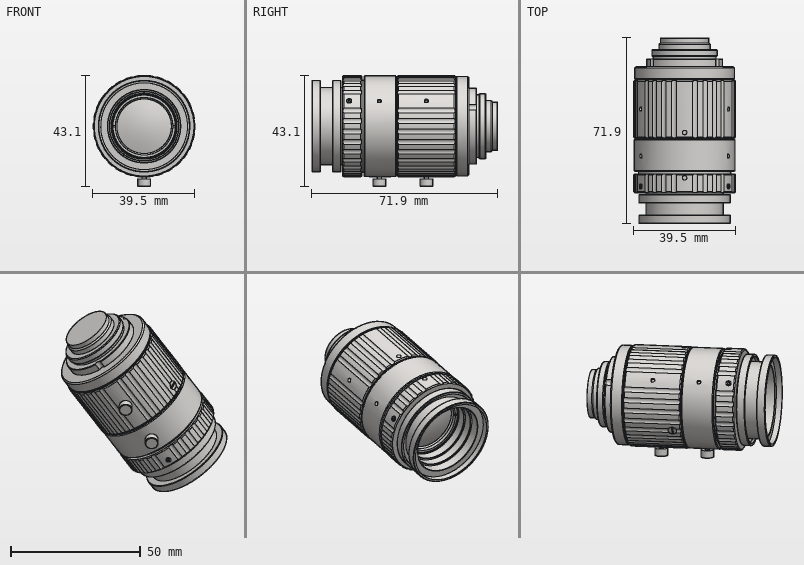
import cadquery as cq
import math

LENGTH = 71.9
OVERALL_HEIGHT = 43.1

FRONT_RIM_RADIUS = 17.75
NECK_RADIUS = 15.0
MIDDLE_RING_RADIUS = 39.2 / 2
GRIP_RADIUS = 39.5 / 2
RELIEF_RADIUS = 37.6 / 2
FOCUS_GAP_RADIUS = 17.9
REAR_RING_RADIUS = 19.35
LOCK_DISC_RADIUS = 14.75
MOUNT_NECK_RADIUS = 12.2
MOUNT_FLANGE_RADIUS = 25.4 / 2
THREAD_RADIUS = 20.0 / 2
NOSE_RADIUS = 18.8 / 2

FRONT_RIM_END = 3.3
FRONT_NECK_END = 8.05
SECOND_RIM_END = 11.3
SECOND_NECK_END = 11.95
FOCUS_RING_END = 19.35
FOCUS_GAP_END = 20.2
MIDDLE_RING_END = 32.7
MIDDLE_GAP_END = 33.15
GRIP_RING_END = 55.6
GRIP_GAP_END = 56.0
REAR_RING_END = 60.8
LOCK_DISC_END = 63.85
MOUNT_NECK_END = 64.7
MOUNT_FLANGE_END = 67.5
THREAD_END = 70.05

RIM_CHAMFER = 0.2
SECOND_RIM_FRONT_CHAMFER = 0.15
RING_CHAMFER = 0.35
GRIP_CHAMFER = 0.4
REAR_RING_FRONT_CHAMFER = REAR_RING_RADIUS - 38.2 / 2
REAR_RING_BACK_CHAMFER = REAR_RING_RADIUS - RELIEF_RADIUS
THREAD_CHAMFER = THREAD_RADIUS - NOSE_RADIUS

RIM_BORE_RADIUS = 16.8
BAFFLE_RADII = [14.1, 13.4, 12.65, 12.4, 12.1]
RETAINER_OUTER_RADIUS = BAFFLE_RADII[-1]
RETAINER_BORE_RADIUS = 11.15
LENS_OPENING_RADIUS = 10.6
RIM_BORE_DEPTH = 2.2
SECOND_RIM_RECESS_DEPTH = 1.1
BAFFLE_DEPTHS = [6.05, 9.35, 12.65, 12.8, 12.95]
BAFFLE_MOUTH_CHAMFER = 0.15
RETAINER_FACE_DEPTH = BAFFLE_DEPTHS[-1]
CONE_START_DEPTH = 14.3
LENS_RIM_DEPTH = 14.9
SPANNER_SLOT_WIDTH = 0.65
SPANNER_SLOT_DEPTH = 0.7
LENS_SPHERE_RADIUS = 34.5
LENS_EDGE_THICKNESS = 2.9

GROOVE_PITCH = 12
FIRST_GROOVE_ANGLE = 6
PLAIN_ANGLES = [30, 90, 150, 270]
GROOVE_WIDTH = 1.95
GROOVE_CUTTER_RADIUS = 3.0 / 2
LOCK_NOTCH_WIDTH = 2.3
LOCK_NOTCH_CUTTER_RADIUS = 2.5 / 2

SCREW_ANGLES = [30, 150, 270]
OPEN_SCREW_ANGLES = [30, 150]
THUMB_SCREW_ANGLE = 270
INDEX_PIN_ANGLE = 90
SLOTTED_SCREW_ANGLE = 210
GRIP_SCREW_Y = 44.4
MIDDLE_SCREW_Y = 26.2
FOCUS_SCREW_Y = 14.45
LOCK_HOLE_RADIUS = 1.5 / 2
LOCK_HOLE_DEPTH = 1.3
SET_SCREW_RADIUS = 2.0 / 2
SET_SCREW_RECESS = 0.15
HEX_SOCKET_CORNERS = 1.0
HEX_SOCKET_DEPTH = 0.6
GRIP_PIN_Y = 35.3
FOCUS_PIN_Y = 17.75
INDEX_PIN_RADIUS = 1.7 / 2
PIN_EMBED = 1.45
PIN_INNER_END = GRIP_RADIUS - PIN_EMBED
SLOTTED_SCREW_Y = 36.7
SLOTTED_SCREW_RADIUS = 3.4 / 2
SLOTTED_SCREW_RECESS = 0.15
DRIVER_SLOT_WIDTH = 0.4
DRIVER_SLOT_DEPTH = 0.4
THUMB_STEM_RADIUS = 1.7 / 2
THUMB_HEAD_RADIUS = 5.0 / 2
THUMB_HEAD_START = 20.35
THUMB_HEAD_END = OVERALL_HEIGHT - GRIP_RADIUS
THUMB_CHAMFER = 0.2


def disc(radius, start, end):
    """Cylinder on the optical axis from Y = start to Y = end."""
    solid = cq.Solid.makeCylinder(radius, end - start, cq.Vector(0, start, 0), cq.Vector(0, 1, 0))
    return cq.Workplane(obj=solid)


def chamfered_disc(radius, start, end, chamfer):
    return disc(radius, start, end).edges("%CIRCLE").chamfer(chamfer)


def turn(body, angle):
    """Turn a body about the optical axis, from the +X direction towards +Z."""
    return body.rotate((0, 0, 0), (0, 1, 0), -angle)


def radial_pin(radius, angle, y, inner, outer):
    """Cylinder pointing away from the optical axis, between two distances from it."""
    pin = cq.Workplane("YZ", origin=(inner, y, 0)).circle(radius).extrude(outer - inner)
    return turn(pin, angle)


def cut_grooves(body, angles, radius, width, cutter_radius, start, end):
    """Cut round-bottomed grooves along Y that open to the given width at the surface."""
    chord_distance = math.sqrt(radius**2 - (width / 2) ** 2)
    centre = chord_distance + math.sqrt(cutter_radius**2 - (width / 2) ** 2)
    cutter = disc(cutter_radius, start, end).translate((centre, 0, 0))
    for angle in angles:
        body = body.cut(turn(cutter, angle))
    return body


def grip_ring(start, end):
    groove_angles = []
    for angle in range(FIRST_GROOVE_ANGLE, 360, GROOVE_PITCH):
        if angle not in PLAIN_ANGLES:
            groove_angles.append(angle)
    ring = chamfered_disc(GRIP_RADIUS, start, end, GRIP_CHAMFER)
    return cut_grooves(ring, groove_angles, GRIP_RADIUS, GROOVE_WIDTH, GROOVE_CUTTER_RADIUS, start, end)


def make_barrel():
    lock_disc = disc(LOCK_DISC_RADIUS, REAR_RING_END, LOCK_DISC_END).faces(">Y").edges().chamfer(RIM_CHAMFER)
    lock_disc = cut_grooves(lock_disc, SCREW_ANGLES, LOCK_DISC_RADIUS, LOCK_NOTCH_WIDTH,
                            LOCK_NOTCH_CUTTER_RADIUS, REAR_RING_END, LOCK_DISC_END)
    second_rim = disc(FRONT_RIM_RADIUS, FRONT_NECK_END, SECOND_RIM_END)
    second_rim = second_rim.faces("<Y").edges().chamfer(SECOND_RIM_FRONT_CHAMFER)
    second_rim = second_rim.faces(">Y").edges().chamfer(RIM_CHAMFER)
    rear_ring = disc(REAR_RING_RADIUS, GRIP_GAP_END, REAR_RING_END)
    rear_ring = rear_ring.faces("<Y").edges().chamfer(REAR_RING_FRONT_CHAMFER)
    rear_ring = rear_ring.faces(">Y").edges().chamfer(REAR_RING_BACK_CHAMFER)
    thread = disc(THREAD_RADIUS, MOUNT_FLANGE_END, THREAD_END).faces(">Y").edges().chamfer(THREAD_CHAMFER)
    sections = [
        disc(NECK_RADIUS, FRONT_RIM_END, FRONT_NECK_END),
        second_rim,
        disc(NECK_RADIUS, SECOND_RIM_END, SECOND_NECK_END),
        grip_ring(SECOND_NECK_END, FOCUS_RING_END),
        disc(FOCUS_GAP_RADIUS, FOCUS_RING_END, FOCUS_GAP_END),
        chamfered_disc(MIDDLE_RING_RADIUS, FOCUS_GAP_END, MIDDLE_RING_END, RING_CHAMFER),
        disc(RELIEF_RADIUS, MIDDLE_RING_END, MIDDLE_GAP_END),
        grip_ring(MIDDLE_GAP_END, GRIP_RING_END),
        disc(RELIEF_RADIUS, GRIP_RING_END, GRIP_GAP_END),
        rear_ring,
        lock_disc,
        disc(MOUNT_NECK_RADIUS, LOCK_DISC_END, MOUNT_NECK_END),
        chamfered_disc(MOUNT_FLANGE_RADIUS, MOUNT_NECK_END, MOUNT_FLANGE_END, RING_CHAMFER),
        thread,
        disc(NOSE_RADIUS, THREAD_END, LENGTH),
    ]
    barrel = chamfered_disc(FRONT_RIM_RADIUS, 0, FRONT_RIM_END, RIM_CHAMFER)
    for section in sections:
        barrel = barrel.union(section)
    return barrel


def cut_second_rim_recess(body):
    """Ring-shaped recess in the front face of the second rim, around the neck."""
    recess_end = FRONT_NECK_END + SECOND_RIM_RECESS_DEPTH
    neck = disc(NECK_RADIUS, FRONT_NECK_END, recess_end)
    recess = disc(RIM_BORE_RADIUS, FRONT_NECK_END, recess_end).cut(neck)
    return body.cut(recess)


def cone(start_radius, end_radius, start, end):
    """Truncated cone on the optical axis from Y = start to Y = end."""
    base = cq.Vector(0, start, 0)
    solid = cq.Solid.makeCone(start_radius, end_radius, end - start, base, cq.Vector(0, 1, 0))
    return cq.Workplane(obj=solid)


def make_bore():
    """Stepped space in front of the lens, with the countersink of the lens retainer."""
    bore = disc(RIM_BORE_RADIUS, 0, RIM_BORE_DEPTH)
    mouth = RIM_BORE_DEPTH
    for radius, depth in zip(BAFFLE_RADII, BAFFLE_DEPTHS):
        bore = bore.union(disc(radius, mouth, depth))
        bore = bore.union(cone(radius + BAFFLE_MOUTH_CHAMFER, radius, mouth, mouth + BAFFLE_MOUTH_CHAMFER))
        mouth = depth
    bore = bore.union(disc(RETAINER_BORE_RADIUS, RETAINER_FACE_DEPTH, CONE_START_DEPTH))
    bore = bore.union(cone(RETAINER_BORE_RADIUS, LENS_OPENING_RADIUS, CONE_START_DEPTH, LENS_RIM_DEPTH))
    spanner_slots = (
        cq.Workplane("XY")
        .box(2 * RETAINER_OUTER_RADIUS, SPANNER_SLOT_DEPTH, SPANNER_SLOT_WIDTH)
        .translate((0, RETAINER_FACE_DEPTH + SPANNER_SLOT_DEPTH / 2, 0))
    )
    return bore.union(spanner_slots)


def make_lens():
    """Plano-convex lens whose dome faces the front."""
    dome_height = LENS_SPHERE_RADIUS - math.sqrt(LENS_SPHERE_RADIUS**2 - LENS_OPENING_RADIUS**2)
    apex = LENS_RIM_DEPTH - dome_height
    back = LENS_RIM_DEPTH + LENS_EDGE_THICKNESS
    blank = disc(LENS_OPENING_RADIUS, apex, back)
    sphere = cq.Workplane("XZ").sphere(LENS_SPHERE_RADIUS).translate((0, apex + LENS_SPHERE_RADIUS, 0))
    return blank.intersect(sphere)


def cut_lock_holes(body):
    """Empty thumb screw holes of the rear grip ring and the middle ring."""
    for angle in OPEN_SCREW_ANGLES:
        for y, surface in [(GRIP_SCREW_Y, GRIP_RADIUS), (MIDDLE_SCREW_Y, MIDDLE_RING_RADIUS)]:
            floor = surface - LOCK_HOLE_DEPTH
            body = body.cut(radial_pin(LOCK_HOLE_RADIUS, angle, y, floor, surface))
    return body


def cut_set_screws(body):
    """Recessed set screws of the focus ring, each with a hexagon socket."""
    head = GRIP_RADIUS - SET_SCREW_RECESS
    floor = head - HEX_SOCKET_DEPTH
    socket = cq.Workplane("YZ", origin=(floor, FOCUS_SCREW_Y, 0)).polygon(6, HEX_SOCKET_CORNERS)
    socket = socket.extrude(HEX_SOCKET_DEPTH)
    for angle in SCREW_ANGLES:
        body = body.cut(radial_pin(SET_SCREW_RADIUS, angle, FOCUS_SCREW_Y, head, GRIP_RADIUS))
        body = body.cut(turn(socket, angle))
    return body


def add_index_pins(body):
    """Flat-ended index pins, level with the top of the two grip rings."""
    for y in [GRIP_PIN_Y, FOCUS_PIN_Y]:
        pin = radial_pin(INDEX_PIN_RADIUS, INDEX_PIN_ANGLE, y, PIN_INNER_END, GRIP_RADIUS)
        body = body.union(pin)
    return body


def add_slotted_screw(body):
    """Screw head that fills a grip groove and lies just below the ring surface."""
    head = GRIP_RADIUS - SLOTTED_SCREW_RECESS
    recess = radial_pin(SLOTTED_SCREW_RADIUS, SLOTTED_SCREW_ANGLE, SLOTTED_SCREW_Y, head, GRIP_RADIUS)
    screw = radial_pin(SLOTTED_SCREW_RADIUS, SLOTTED_SCREW_ANGLE, SLOTTED_SCREW_Y, PIN_INNER_END, head)
    slot = (
        cq.Workplane("XY")
        .box(DRIVER_SLOT_DEPTH, DRIVER_SLOT_WIDTH, 2 * SLOTTED_SCREW_RADIUS)
        .translate((head - DRIVER_SLOT_DEPTH / 2, SLOTTED_SCREW_Y, 0))
    )
    return body.cut(recess).union(screw).cut(turn(slot, SLOTTED_SCREW_ANGLE))


def add_thumb_screws(body):
    for y in [GRIP_SCREW_Y, MIDDLE_SCREW_Y]:
        stem = radial_pin(THUMB_STEM_RADIUS, THUMB_SCREW_ANGLE, y, PIN_INNER_END, THUMB_HEAD_START)
        head = radial_pin(THUMB_HEAD_RADIUS, THUMB_SCREW_ANGLE, y, THUMB_HEAD_START, THUMB_HEAD_END)
        head = head.faces("<Z").edges().chamfer(THUMB_CHAMFER)
        body = body.union(stem).union(head)
    return body


lens = make_lens()

housing = cut_second_rim_recess(make_barrel()).cut(make_bore()).cut(lens)
housing = cut_lock_holes(housing)
housing = cut_set_screws(housing)
housing = add_index_pins(housing)
housing = add_slotted_screw(housing)
housing = add_thumb_screws(housing)

result = cq.Compound.makeCompound([*housing.vals(), *lens.vals()])